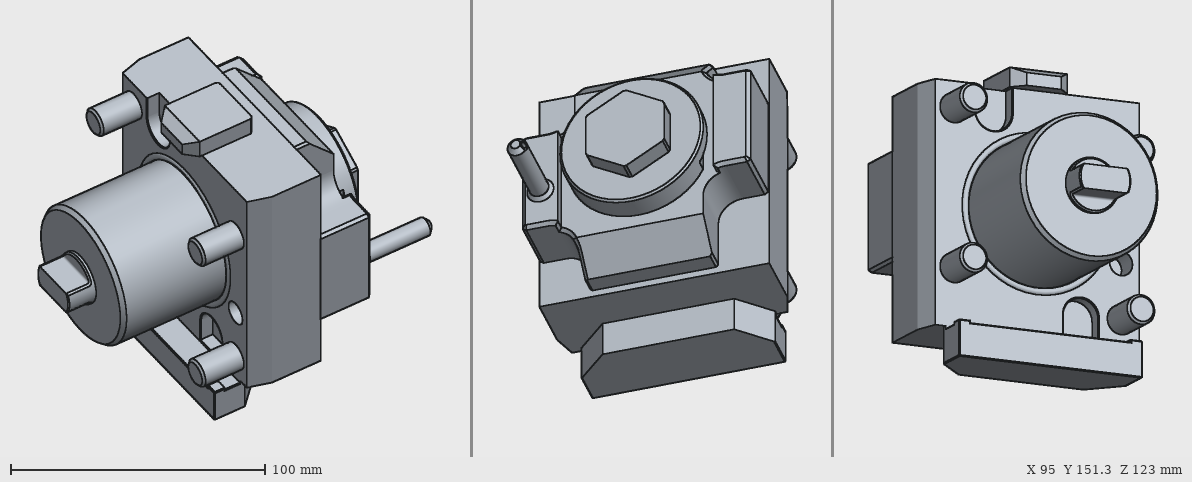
import cadquery as cq
import math


PLATE_WIDTH = 95.0
PLATE_HEIGHT = 100.0
PLATE_THICKNESS = 33.0
PLATE_TAPER_DEPTH = 10.0
PLATE_TAPER_WIDTH = 3.0

BOLT_X = 36.5
BOLT_OUTER_Z = 39.0
BOLT_INNER_Z = 26.0
BOLT_DIAMETER = 12.0
BOLT_CHAMFER = 1.0
BOLT_REACH = 19.0

SLOT_X = 19.0
SLOT_DEPTH = 5.8
SLOT_MOUTH_CHAMFER = 0.4
SLOT_CENTER_Z = 39.7
SLOT_UPPER_WIDTH = 16.0
SLOT_LOWER_WIDTH = 15.2
PORT_DIAMETER = 10.0
PORT_Z = -16.0
PORT_DEPTH = 10.0

HOUSING_RADIUS = 30.0
HOUSING_LENGTH = 49.0
HOUSING_CHAMFER_LENGTH = 2.0
HOUSING_CHAMFER_RADIAL = 1.5
RING_SECTION_RADIUS = 1.5
RING_MEAN_RADIUS = HOUSING_RADIUS + RING_SECTION_RADIUS
RING_PROTRUSION = 0.9
TANG_RADIUS = 11.2
TANG_TIP_Y = -62.0
TANG_THICKNESS = 10.0
TANG_COLLAR_LENGTH = 2.0
TANG_ROOT_FILLET = 0.9
TANG_EDGE_CHAMFER = 0.7
TANG_TIP_CHAMFER = 0.5

BODY_HALF_HEIGHT = 47.0
BODY_REAR_Y = 52.7
BODY_BEVEL_Y = 40.5
BOLT_CLEARANCE_RADIUS = 10.0
BODY_EDGE_CHAMFER = 1.0
WING_HALF_WIDTH = 47.1
WING_REAR_Y = 57.3
WING_STEP_X = 32.1
WING_CORNER_X = 1.5
WING_CORNER_Z = 1.0
WING_REAR_CHAMFER = 1.5

NECK_FLAT_X = 26.5
FLANGE_RADIUS = 29.6
FLANGE_REAR_Y = 63.2
FLANGE_CHAMFER = 0.9
HEX_FLATS = 32.4
HEX_CORNER_CHAMFER = 0.7
HEX_REAR_Y = 71.0

TUBE_X = 39.3
TUBE_Z = -12.0
TUBE_DIAMETER = 8.0
TUBE_REAR_Y = 89.34
TUBE_TIP_CHAMFER = 2.0
JET_FACE_WIDTH = 2.2
JET_FACE_LENGTH = 3.0
JET_DIAMETER = 2.5
JET_DEPTH = 3.0
TUBE_BASE_DIAMETER = 11.0
TUBE_BASE_CONE = 1.7

LUG_WIDTH = 25.0
LUG_TOP_Z = 58.0
LUG_FRONT_Y = -6.1
LUG_REAR_Y = 24.0
LUG_NOSE_CHAMFER = 5.0
LUG_NOSE_DROP = 2.8
LUG_REAR_CHAMFER = 1.0

BAR_WIDTH = 80.0
BAR_BOTTOM_Z = -65.0
BAR_FRONT_Y = -12.2
BAR_REAR_Y = 14.8
BAR_REAR_CHAMFER = 12.8
BAR_PAD = 5.0
BAR_RECESS_DEPTH = 1.0
BAR_EDGE_CHAMFER = 0.4

PLATE_TOP = PLATE_HEIGHT / 2
EDGE_MARGIN = 0.1
EMBED = 2.0


def xz_plane(y):
    """Plane parallel to XZ at the given Y; its normal points toward -Y."""
    return cq.Workplane("XZ", origin=(0, y, 0))


def disc(x, z, radius, y_front, y_rear):
    return xz_plane(y_rear).center(x, z).circle(radius).extrude(y_rear - y_front)


def block(x_min, x_max, y_min, y_max, z_min, z_max):
    size = (x_max - x_min, y_max - y_min, z_max - z_min)
    return cq.Workplane("XY").box(*size, centered=False).translate((x_min, y_min, z_min))


def half_turn(shape):
    return shape.rotate((0, 0, 0), (0, 1, 0), 180)


def make_plate():
    half_width = PLATE_WIDTH / 2
    front_half_width = half_width - PLATE_TAPER_WIDTH
    outline = [
        (-front_half_width, 0),
        (front_half_width, 0),
        (half_width, PLATE_TAPER_DEPTH),
        (half_width, PLATE_THICKNESS),
        (-half_width, PLATE_THICKNESS),
        (-half_width, PLATE_TAPER_DEPTH),
    ]
    return cq.Workplane("XY").workplane(offset=-PLATE_TOP).polyline(outline).close().extrude(PLATE_HEIGHT)


def cut_upper_slot(plate, width):
    """Cut a round-ended slot through the top edge of the plate and chamfer its mouth."""
    radius = width / 2
    x_min = -SLOT_X - radius
    x_max = -SLOT_X + radius
    round_end = disc(-SLOT_X, SLOT_CENTER_Z, radius, 0, SLOT_DEPTH)
    straight = block(x_min, x_max, 0, SLOT_DEPTH, SLOT_CENTER_Z, PLATE_TOP)
    plate = plate.cut(round_end.union(straight))
    mouth_zone = cq.selectors.BoxSelector(
        (x_min - EDGE_MARGIN, -EDGE_MARGIN, SLOT_CENTER_Z - radius - EDGE_MARGIN),
        (x_max + EDGE_MARGIN, EDGE_MARGIN, PLATE_TOP - EDGE_MARGIN),
    )
    return plate.edges(mouth_zone).chamfer(SLOT_MOUTH_CHAMFER)


def make_bolt(x, z):
    bolt = disc(x, z, BOLT_DIAMETER / 2, -BOLT_REACH, EMBED)
    return bolt.faces("<Y").chamfer(BOLT_CHAMFER)


def make_housing():
    chamfer_start = -(HOUSING_LENGTH - HOUSING_CHAMFER_LENGTH)
    profile = [
        (0, EMBED),
        (HOUSING_RADIUS, EMBED),
        (HOUSING_RADIUS, chamfer_start),
        (HOUSING_RADIUS - HOUSING_CHAMFER_RADIAL, -HOUSING_LENGTH),
        (0, -HOUSING_LENGTH),
    ]
    return cq.Workplane("XY").polyline(profile).close().revolve(360, (0, 0, 0), (0, 1, 0))


def make_sealing_ring():
    center_y = RING_SECTION_RADIUS - RING_PROTRUSION
    section = cq.Workplane("XY").center(RING_MEAN_RADIUS, center_y).circle(RING_SECTION_RADIUS)
    return section.revolve(360, (-RING_MEAN_RADIUS, 0, 0), (-RING_MEAN_RADIUS, 1, 0))


def make_tang():
    """Round drive stub milled down to a flat tang in front of a short collar."""
    half = TANG_THICKNESS / 2
    collar_y = -HOUSING_LENGTH - TANG_COLLAR_LENGTH
    stub = disc(0, 0, TANG_RADIUS, TANG_TIP_Y, -HOUSING_LENGTH + EMBED)
    stub = stub.faces("<Y").chamfer(TANG_TIP_CHAMFER)
    side = block(-TANG_RADIUS, TANG_RADIUS, TANG_TIP_Y, collar_y, half, TANG_RADIUS)
    side = side.edges("|X and >Y and <Z").fillet(TANG_ROOT_FILLET)
    tang = stub.cut(side).cut(half_turn(side))

    flat_zone = cq.selectors.BoxSelector(
        (-TANG_RADIUS, TANG_TIP_Y, -half - EDGE_MARGIN),
        (TANG_RADIUS, collar_y - TANG_ROOT_FILLET - EDGE_MARGIN, half + EDGE_MARGIN),
    )
    tang = tang.edges("|Y").edges(flat_zone).edges(">Z or <Z").chamfer(TANG_EDGE_CHAMFER)
    return tang


def make_bracket():
    wall_x = BOLT_X - BOLT_CLEARANCE_RADIUS
    wing_top = BOLT_OUTER_Z - BOLT_CLEARANCE_RADIUS
    wing_bottom = BOLT_CLEARANCE_RADIUS - BOLT_INNER_Z
    arc_offset = BOLT_CLEARANCE_RADIUS * math.sqrt(0.5)
    arc_x = arc_offset - BOLT_X
    corner_x = WING_CORNER_X - WING_HALF_WIDTH
    wing = (
        xz_plane(WING_REAR_Y)
        .moveTo(0, BODY_HALF_HEIGHT)
        .lineTo(-wall_x, BODY_HALF_HEIGHT)
        .lineTo(-wall_x, BOLT_OUTER_Z)
        .threePointArc((arc_x, BOLT_OUTER_Z - arc_offset), (-BOLT_X, wing_top))
        .lineTo(corner_x, wing_top)
        .lineTo(-WING_HALF_WIDTH, wing_top - WING_CORNER_Z)
        .lineTo(-WING_HALF_WIDTH, wing_bottom + WING_CORNER_Z)
        .lineTo(corner_x, wing_bottom)
        .lineTo(-BOLT_X, wing_bottom)
        .threePointArc((arc_x, -BOLT_INNER_Z + arc_offset), (-wall_x, -BOLT_INNER_Z))
        .lineTo(-wall_x, -BODY_HALF_HEIGHT)
        .lineTo(0, -BODY_HALF_HEIGHT)
        .close()
        .extrude(WING_REAR_Y - PLATE_THICKNESS + EMBED)
    )
    middle = block(-WING_STEP_X, WING_STEP_X, BODY_REAR_Y, WING_REAR_Y, -BODY_HALF_HEIGHT, BODY_HALF_HEIGHT)
    wing = wing.cut(middle)
    bevel_z = BODY_HALF_HEIGHT - (BODY_REAR_Y - BODY_BEVEL_Y)
    bevel_outline = [(BODY_REAR_Y, bevel_z), (BODY_REAR_Y, BODY_HALF_HEIGHT), (BODY_BEVEL_Y, BODY_HALF_HEIGHT)]
    bevel = (
        cq.Workplane("YZ", origin=(-PLATE_WIDTH / 2, 0, 0))
        .polyline(bevel_outline)
        .close()
        .extrude(PLATE_WIDTH)
    )
    wing = wing.cut(bevel).cut(half_turn(bevel))
    wing = wing.edges("|Y and (>Z or <Z)").edges("<X").chamfer(BODY_EDGE_CHAMFER)

    step_zone_min_x = -WING_STEP_X - EDGE_MARGIN
    body_rim_zone = cq.selectors.BoxSelector(
        (step_zone_min_x, BODY_BEVEL_Y, wing_top),
        (EDGE_MARGIN - wall_x, WING_REAR_Y, BODY_HALF_HEIGHT),
    )
    lower_step_zone = cq.selectors.BoxSelector(
        (step_zone_min_x, BODY_REAR_Y + EDGE_MARGIN, -BOLT_INNER_Z),
        (EDGE_MARGIN - WING_STEP_X, WING_REAR_Y - EDGE_MARGIN, wing_bottom),
    )
    rim_edges = wing.faces(">Y").edges("not(>X)")
    rim_edges = rim_edges.add(wing.edges(body_rim_zone)).add(wing.edges(lower_step_zone))
    wing = rim_edges.chamfer(WING_REAR_CHAMFER)
    return wing.union(half_turn(wing))


def make_rear_flange():
    """Round flange with two flats on its neck, carrying a hexagon."""
    flange = disc(0, 0, FLANGE_RADIUS, BODY_REAR_Y - EMBED, FLANGE_REAR_Y)
    flange = flange.faces(">Y").chamfer(FLANGE_CHAMFER)
    flat = block(NECK_FLAT_X, FLANGE_RADIUS, BODY_REAR_Y, WING_REAR_Y, -FLANGE_RADIUS, FLANGE_RADIUS)
    flange = flange.cut(flat).cut(half_turn(flat))
    corner_diameter = HEX_FLATS / math.cos(math.pi / 6)
    hexagon = (
        xz_plane(HEX_REAR_Y)
        .polygon(6, corner_diameter)
        .extrude(HEX_REAR_Y - FLANGE_REAR_Y + EMBED)
        .edges("|Y")
        .chamfer(HEX_CORNER_CHAMFER)
        .rotate((0, 0, 0), (0, 1, 0), 90)
    )
    return flange.union(hexagon)


def make_coolant_tube():
    tube = disc(TUBE_X, TUBE_Z, TUBE_DIAMETER / 2, WING_REAR_Y - EMBED, TUBE_REAR_Y)
    tube = tube.faces(">Y").chamfer(TUBE_TIP_CHAMFER)
    base = disc(TUBE_X, TUBE_Z, TUBE_BASE_DIAMETER / 2, WING_REAR_Y - EMBED, WING_REAR_Y + TUBE_BASE_CONE)
    cone_radial = (TUBE_BASE_DIAMETER - TUBE_DIAMETER) / 2
    base = base.faces(">Y").chamfer(TUBE_BASE_CONE, cone_radial)

    side_x = TUBE_X - TUBE_DIAMETER / 2
    face_start_y = TUBE_REAR_Y - JET_FACE_LENGTH
    face_end_x = side_x + JET_FACE_WIDTH
    shoulder = (
        cq.Workplane("XY")
        .workplane(offset=TUBE_Z - TUBE_DIAMETER / 2)
        .polyline([(side_x, face_start_y), (side_x, TUBE_REAR_Y), (face_end_x, TUBE_REAR_Y)])
        .close()
        .extrude(TUBE_DIAMETER)
    )
    face_middle = ((side_x + face_end_x) / 2, (face_start_y + TUBE_REAR_Y) / 2, TUBE_Z)
    jet_plane = cq.Plane(face_middle, xDir=(0, 0, 1), normal=(JET_FACE_LENGTH, -JET_FACE_WIDTH, 0))
    jet = cq.Workplane(jet_plane).circle(JET_DIAMETER / 2).extrude(JET_DEPTH)
    return tube.union(base).cut(shoulder).cut(jet)


def make_upper_lug():
    half = LUG_WIDTH / 2
    lug = block(-half, half, LUG_FRONT_Y, LUG_REAR_Y, PLATE_TOP, LUG_TOP_Z)
    lug = lug.edges("|Z and <Y").chamfer(LUG_NOSE_CHAMFER)
    lug = lug.edges("|Z and >Y").chamfer(LUG_REAR_CHAMFER)
    slope_outline = [
        (LUG_FRONT_Y, LUG_TOP_Z),
        (LUG_FRONT_Y, LUG_TOP_Z - LUG_NOSE_DROP),
        (LUG_FRONT_Y + LUG_NOSE_CHAMFER, LUG_TOP_Z),
    ]
    slope = cq.Workplane("YZ", origin=(-half, 0, 0)).polyline(slope_outline).close().extrude(LUG_WIDTH)
    return lug.cut(slope)


def make_lower_bar():
    half = BAR_WIDTH / 2
    recess_z = -PLATE_TOP - BAR_RECESS_DEPTH
    bar = block(-half, half, BAR_FRONT_Y, BAR_REAR_Y, BAR_BOTTOM_Z, -PLATE_TOP)
    bar = bar.edges("|Z and >Y").chamfer(BAR_REAR_CHAMFER)
    recess = block(-half, half, BAR_FRONT_Y, 0, recess_z, -PLATE_TOP)
    for pad_x in (-half, half - BAR_PAD):
        pad = block(pad_x, pad_x + BAR_PAD, BAR_FRONT_Y, BAR_FRONT_Y + BAR_PAD, recess_z, -PLATE_TOP)
        recess = recess.cut(pad)
    bar = bar.cut(recess)
    front_zone = cq.selectors.BoxSelector(
        (-half - EDGE_MARGIN, BAR_FRONT_Y - EDGE_MARGIN, BAR_BOTTOM_Z - EDGE_MARGIN),
        (half + EDGE_MARGIN, -EDGE_MARGIN, EDGE_MARGIN - PLATE_TOP),
    )
    return bar.faces("<Y or <X or >X").edges(front_zone).chamfer(BAR_EDGE_CHAMFER)


result = cut_upper_slot(make_plate(), SLOT_UPPER_WIDTH)
result = half_turn(cut_upper_slot(half_turn(result), SLOT_LOWER_WIDTH))
result = result.cut(disc(BOLT_X, PORT_Z, PORT_DIAMETER / 2, 0, PORT_DEPTH))
result = result.union(make_housing()).union(make_sealing_ring()).union(make_tang())
for side in (-1, 1):
    for bolt_z in (BOLT_OUTER_Z, -BOLT_INNER_Z):
        result = result.union(make_bolt(side * BOLT_X, -side * bolt_z))
result = result.union(make_bracket()).union(make_rear_flange()).union(make_coolant_tube())
result = result.union(make_upper_lug()).union(make_lower_bar())